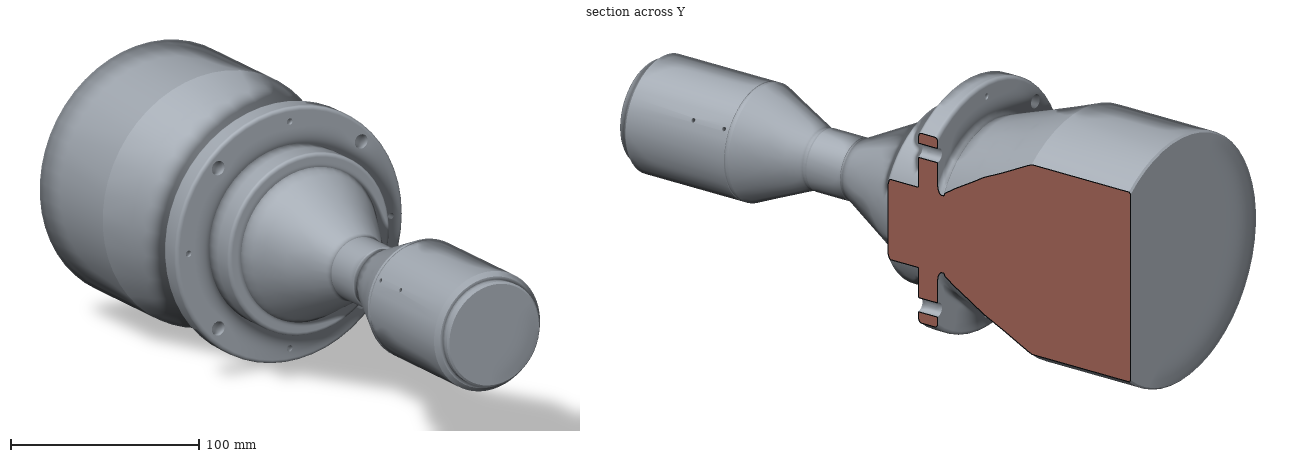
import cadquery as cq
import math

TOTAL_LENGTH = 345.5

BARREL_DIAMETER = 142.0
BARREL_RADIUS = BARREL_DIAMETER / 2
BARREL_END = 64.5
BARREL_CHAMFER = 1.0
FRONT_CONE_END = 121.5
FRONT_CONE_END_RADIUS = 50.8

NECK_START = 122.3
NECK_RADIUS = 50.0
COLLAR_RADIUS = 50.5
FLANGE_RADIUS = BARREL_RADIUS
FLANGE_START = 126.0
FLANGE_END = 139.0
COLLAR_END = 159.0
RIM_ROUND = 2.0
NECK_FILLET = 2.5

MIDDLE_CONE_RADIUS = 43.0
WAIST_RADIUS = 17.3
WAIST_START = 208.3
WAIST_END = 234.2

SLEEVE_RADIUS = 17.5
SLEEVE_START = 209.3
SLEEVE_END = 232.0
SLEEVE_BEVEL_LENGTH = 1.0

REAR_RADIUS = 33.0
REAR_START = 271.0
GROOVE_START = 273.0
GROOVE_WIDTH = 1.0
GROOVE_DEPTH = 0.5
REAR_CHAMFER = 2.5
TIP_RADIUS = 29.0
TIP_START = 340.5
TIP_CHAMFER = 1.0

BOLT_CIRCLE_RADIUS = 63.2
BOLT_HOLE_DIAMETER = 8.0
PIN_HOLE_DIAMETER = 3.5
HOLES_PER_RING = 4

SCREW_POSITIONS = (277.0, 297.0)
SCREW_ANGLES = (30, 150, 270)
SCREW_DIAMETER = 2.5
SCREW_DEPTH = 3.5


def turned_body():
    """Solid of revolution from a half profile of (X, radius) points."""
    profile = [
        (0, 0),
        (0, BARREL_RADIUS - BARREL_CHAMFER),
        (BARREL_CHAMFER, BARREL_RADIUS),
        (BARREL_END, BARREL_RADIUS),
        (FRONT_CONE_END, FRONT_CONE_END_RADIUS),
        (NECK_START, NECK_RADIUS),
        (FLANGE_START, NECK_RADIUS),
        (FLANGE_START, FLANGE_RADIUS),
        (FLANGE_END, FLANGE_RADIUS),
        (FLANGE_END, COLLAR_RADIUS),
        (COLLAR_END, COLLAR_RADIUS),
        (COLLAR_END, MIDDLE_CONE_RADIUS),
        (WAIST_START, WAIST_RADIUS),
        (SLEEVE_START, WAIST_RADIUS),
        (SLEEVE_START, SLEEVE_RADIUS),
        (SLEEVE_END - SLEEVE_BEVEL_LENGTH, SLEEVE_RADIUS),
        (SLEEVE_END, WAIST_RADIUS),
        (WAIST_END, WAIST_RADIUS),
        (REAR_START, REAR_RADIUS),
        (GROOVE_START, REAR_RADIUS),
        (GROOVE_START, REAR_RADIUS - GROOVE_DEPTH),
        (GROOVE_START + GROOVE_WIDTH, REAR_RADIUS - GROOVE_DEPTH),
        (GROOVE_START + GROOVE_WIDTH, REAR_RADIUS),
        (TIP_START - REAR_CHAMFER, REAR_RADIUS),
        (TIP_START, REAR_RADIUS - REAR_CHAMFER),
        (TIP_START, TIP_RADIUS),
        (TOTAL_LENGTH - TIP_CHAMFER, TIP_RADIUS),
        (TOTAL_LENGTH, TIP_RADIUS - TIP_CHAMFER),
        (TOTAL_LENGTH, 0),
    ]
    return cq.Workplane("XY").polyline(profile).close().revolve(360, (0, 0, 0), (1, 0, 0))


def rims_at(x, radius, margin=0.5):
    """Selector for circular edges at position x that are no larger than the given radius."""
    reach = radius + margin
    low_corner = (x - margin, -reach, -reach)
    high_corner = (x + margin, reach, reach)
    return cq.selectors.BoxSelector(low_corner, high_corner, boundingbox=True)


def round_rims(body):
    """Round the flange rims and the rear collar rim, and fillet the neck into the flange."""
    outer_rims = (
        (FLANGE_START, FLANGE_RADIUS),
        (FLANGE_END, FLANGE_RADIUS),
        (COLLAR_END, COLLAR_RADIUS),
    )
    for x, radius in outer_rims:
        largest_rim = body.edges(rims_at(x, radius)).edges(cq.selectors.RadiusNthSelector(-1))
        body = largest_rim.fillet(RIM_ROUND)
    inner_corner = body.edges(rims_at(FLANGE_START, NECK_RADIUS))
    return inner_corner.fillet(NECK_FILLET)


def flange_holes(diameter, start_angle):
    """Ring of cylinders that pass through the flange thickness."""
    return (
        cq.Workplane("YZ", origin=(FLANGE_START, 0, 0))
        .polarArray(BOLT_CIRCLE_RADIUS, start_angle, 360, HOLES_PER_RING)
        .circle(diameter / 2)
        .extrude(FLANGE_END - FLANGE_START)
    )


def screw_hole(x, angle):
    """Radial blind hole in the rear barrel; the angle is measured from +Y towards +Z."""
    outward = cq.Vector(0, math.cos(math.radians(angle)), math.sin(math.radians(angle)))
    floor = cq.Vector(x, 0, 0) + outward * (REAR_RADIUS - SCREW_DEPTH)
    return cq.Solid.makeCylinder(SCREW_DIAMETER / 2, 2 * SCREW_DEPTH, floor, outward)


result = round_rims(turned_body())
result = result.cut(flange_holes(BOLT_HOLE_DIAMETER, 45))
result = result.cut(flange_holes(PIN_HOLE_DIAMETER, 0))
for position in SCREW_POSITIONS:
    for screw_angle in SCREW_ANGLES:
        result = result.cut(screw_hole(position, screw_angle))